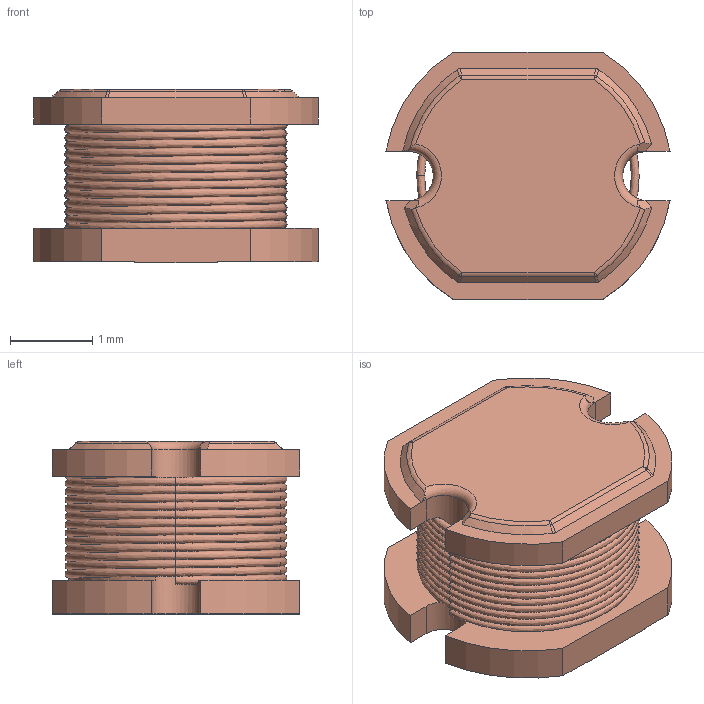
import cadquery as cq
import math

flange_radius = 1.75
flange_width = 3.0
slot_width = 0.6
slot_end_center = 1.45

pad_height = 0.01
lower_flange_top = 0.415
upper_flange_bottom = 1.68
upper_flange_top = 2.0
overall_height = 2.1

pad_width = 1.0

cap_inset = 0.2
cap_height = overall_height - upper_flange_top
cap_slope_angle = 45
cap_edge_fillet = 0.08
trimmed_corners = [(1, 1), (1, -1), (-1, -1)]
corner_trim_depth = 0.07
corner_trim_length = 0.3

core_radius = 1.3
wire_pitch = 0.1
turn_gap = 0.002
wire_radius = (wire_pitch - turn_gap) / 2
wire_start = lower_flange_top
full_turns = 12
last_turn = 0.96


def flatted_disc(radius, width, bottom):
    """Sketch of a disc cut by two flats parallel to X."""
    half_width = width / 2
    flat_end = math.sqrt(radius**2 - half_width**2)
    return (
        cq.Workplane("XY", origin=(0, 0, bottom))
        .moveTo(-flat_end, -half_width)
        .lineTo(flat_end, -half_width)
        .threePointArc((radius, 0), (flat_end, half_width))
        .lineTo(-flat_end, half_width)
        .threePointArc((-radius, 0), (-flat_end, -half_width))
        .close()
    )


def make_flange(bottom, top):
    return flatted_disc(flange_radius, flange_width, bottom).extrude(top - bottom)


def make_cap():
    """Cap with sloped sides, rounded at the upper edge and at the four corners of the flats."""
    outline = flatted_disc(flange_radius - cap_inset, flange_width - 2 * cap_inset, upper_flange_top)
    cap = outline.extrude(cap_height, taper=cap_slope_angle)
    return cap.edges("not(<Z)").fillet(cap_edge_fillet)


def make_slot(side):
    """Round-ended slot through the full height, open on the given X side."""
    end = cq.Workplane("XY").center(side * slot_end_center, 0).circle(slot_width / 2)
    mouth = cq.Workplane("XY").center(side * (slot_end_center + flange_radius / 2), 0)
    mouth = mouth.rect(flange_radius, slot_width)
    return end.extrude(overall_height).union(mouth.extrude(overall_height))


def make_slot_rounding(side):
    """Tool that rounds the cap where it meets a slot."""
    half_slot = slot_width / 2
    rim = half_slot + cap_height
    bulge = cap_height * math.sqrt(0.5)
    shoulder = (rim - bulge, upper_flange_top + bulge)
    end = (
        cq.Workplane("XZ")
        .moveTo(0, upper_flange_top)
        .lineTo(half_slot, upper_flange_top)
        .threePointArc(shoulder, (rim, overall_height))
        .lineTo(0, overall_height)
        .close()
        .revolve(360, (0, 0, 0), (0, 1, 0))
        .translate((side * slot_end_center, 0, 0))
    )
    mouth = (
        cq.Workplane("YZ", origin=(side * slot_end_center, 0, 0))
        .moveTo(-half_slot, upper_flange_top)
        .lineTo(half_slot, upper_flange_top)
        .threePointArc(shoulder, (rim, overall_height))
        .lineTo(-rim, overall_height)
        .threePointArc((-shoulder[0], shoulder[1]), (-half_slot, upper_flange_top))
        .close()
        .extrude(side * flange_radius)
    )
    return end.union(mouth)


def make_corner_trim(side_x, side_y):
    """Sloped tool that trims the point of the cap beside a slot mouth."""
    half_slot = slot_width / 2
    cap_radius = flange_radius - cap_inset
    corner_x = math.sqrt(cap_radius**2 - half_slot**2)
    tool = (
        cq.Workplane("XZ", origin=(0, corner_trim_length / 2, 0))
        .moveTo(-corner_trim_depth, upper_flange_top)
        .lineTo(-corner_trim_depth - cap_height, overall_height)
        .lineTo(cap_height, overall_height)
        .lineTo(cap_height, upper_flange_top)
        .close()
        .extrude(corner_trim_length)
    )
    facing = math.degrees(math.atan2(-side_y, side_x))
    tool = tool.rotate((0, 0, 0), (0, 0, 1), facing)
    return tool.translate((side_x * corner_x, side_y * half_slot, 0))


def make_wire_turn(start, turns):
    """Right-handed stretch of wire centred on the core surface, starting on the -X side."""
    path = cq.Wire.makeHelix(wire_pitch, wire_pitch * turns, core_radius)
    wire = (
        cq.Workplane("XZ", origin=(core_radius, 0, 0))
        .circle(wire_radius)
        .sweep(cq.Workplane(obj=path), isFrenet=True)
    )
    return wire.rotate((0, 0, 0), (0, 0, 1), 180).translate((0, 0, start))


core = cq.Workplane("XY", origin=(0, 0, pad_height)).circle(core_radius)
body = core.extrude(upper_flange_top - pad_height)
body = body.union(make_flange(pad_height, lower_flange_top))
body = body.union(make_flange(upper_flange_bottom, upper_flange_top))
pad = cq.Workplane("XY").rect(pad_width, flange_width).extrude(pad_height)
body = body.union(pad)

cap = make_cap()
for side in (-1, 1):
    cap = cap.cut(make_slot_rounding(side))
for side_x, side_y in trimmed_corners:
    cap = cap.cut(make_corner_trim(side_x, side_y))
body = body.union(cap)
for side in (-1, 1):
    body = body.cut(make_slot(side))

for turn in range(full_turns):
    body = body.union(make_wire_turn(wire_start + turn * wire_pitch, 1), clean=False)
last_start = wire_start + full_turns * wire_pitch
result = body.union(make_wire_turn(last_start, last_turn), clean=False)